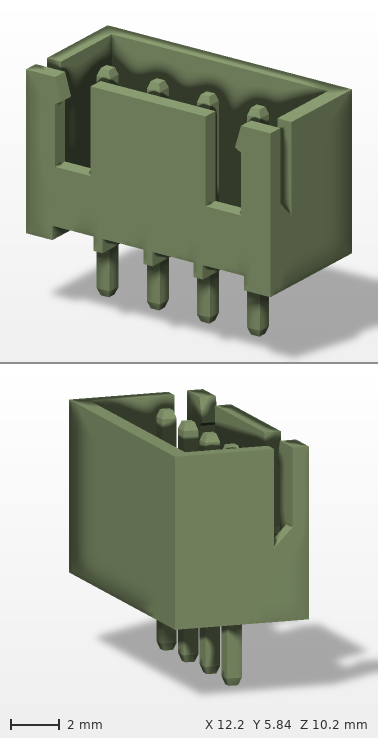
import cadquery as cq

length = 12.17
depth = 5.84
height = 7.22
wall = 0.7
floor_thickness = 0.7

pin_count = 4
pin_pitch = 2.5
pin_width = 0.65
pin_tip_width = 0.41
pin_taper = 0.33
pin_y = 2.48
pin_top = 7.01
pin_bottom = -2.99

front_slot_outer = 4.62
front_slot_inner = 2.86
front_slot_bottom = 3.26
nose_reach = 0.3
nose_tip_z = 6.2
nose_base_z = 6.02

end_slot_back = 1.51
end_slot_bottom = 3.09
end_slot_slope = end_slot_back - wall

notch_width = 2.05
notch_height = 0.63
notch_depth = pin_y - pin_width / 2

pin_row_start = -pin_pitch * (pin_count - 1) / 2
pin_positions = [pin_row_start + i * pin_pitch for i in range(pin_count)]


def housing_shell():
    """Box with a rectangular cavity open at the top."""
    box = cq.Workplane("XY").box(length, depth, height, centered=(True, False, False))
    cavity = (
        cq.Workplane("XY", origin=(0, wall, floor_thickness))
        .box(length - 2 * wall, depth - 2 * wall, height - floor_thickness, centered=(True, False, False))
    )
    return box.cut(cavity)


def front_slot():
    """Left slot through the front wall; its outline leaves the latch nose standing."""
    return (
        cq.Workplane("XZ")
        .moveTo(-front_slot_inner, height)
        .lineTo(-front_slot_inner, front_slot_bottom)
        .lineTo(-front_slot_outer, front_slot_bottom)
        .lineTo(-front_slot_outer, nose_base_z)
        .lineTo(-front_slot_outer + nose_reach, nose_tip_z)
        .lineTo(-front_slot_outer, height)
        .close()
        .extrude(-wall)
    )


def end_slots():
    """Slot running along X through both end walls."""
    return (
        cq.Workplane("YZ", origin=(-length / 2, 0, 0))
        .moveTo(wall, height)
        .lineTo(wall, end_slot_bottom + end_slot_slope)
        .lineTo(end_slot_back, end_slot_bottom)
        .lineTo(end_slot_back, height)
        .close()
        .extrude(length)
    )


def bottom_notch(x):
    """Shallow wedge under the housing, tallest at the front face."""
    return (
        cq.Workplane("YZ", origin=(x - notch_width / 2, 0, 0))
        .polyline([(0, 0), (notch_depth, 0), (0, notch_height)])
        .close()
        .extrude(notch_width)
    )


def pin_tip(x, shoulder_z, tip_z):
    """Tapered end of a pin, from its full section to its smaller end face."""
    return (
        cq.Workplane("XY", origin=(x, pin_y, shoulder_z))
        .rect(pin_width, pin_width)
        .workplane(offset=tip_z - shoulder_z)
        .rect(pin_tip_width, pin_tip_width)
        .loft(ruled=True)
    )


def pin(x):
    """Square post with a tapered tip at each end."""
    lower_shoulder = pin_bottom + pin_taper
    upper_shoulder = pin_top - pin_taper
    post = (
        cq.Workplane("XY", origin=(x, pin_y, lower_shoulder))
        .rect(pin_width, pin_width)
        .extrude(upper_shoulder - lower_shoulder)
    )
    lower_tip = pin_tip(x, lower_shoulder, pin_bottom)
    upper_tip = pin_tip(x, upper_shoulder, pin_top)
    return post.union(lower_tip).union(upper_tip)


left_slot = front_slot()
result = (
    housing_shell()
    .cut(left_slot)
    .cut(left_slot.mirror("YZ"))
    .cut(end_slots())
)
for pin_x in pin_positions:
    result = result.cut(bottom_notch(pin_x)).union(pin(pin_x))